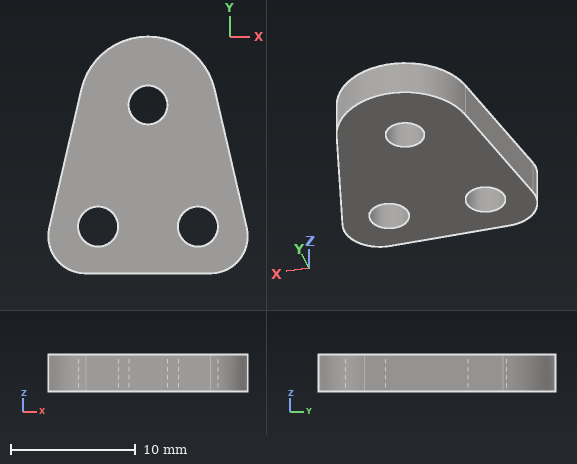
import cadquery as cq
import math

length = 19.0
thickness = 3.0
nose_radius = 5.5
corner_radius = 3.0
corner_spacing = 10.0
nose_hole_diameter = 3.1
base_hole_diameter = 3.2
base_hole_spacing = 8.0
base_hole_y = 3.76

corner_x = corner_spacing / 2
corner_y = corner_radius
nose_y = length - nose_radius

rise = nose_y - corner_y
centre_distance = math.hypot(corner_x, rise)
flank_angle = math.atan2(corner_x, rise) - math.asin((nose_radius - corner_radius) / centre_distance)
corner_mid_angle = (flank_angle - math.pi / 2) / 2


def right_arc_point(center_x, center_y, radius, angle):
    return (center_x + radius * math.cos(angle), center_y + radius * math.sin(angle))


def mirrored(point):
    return (-point[0], point[1])


def make_plate():
    corner_mid = right_arc_point(corner_x, corner_y, corner_radius, corner_mid_angle)
    corner_end = right_arc_point(corner_x, corner_y, corner_radius, flank_angle)
    nose_start = right_arc_point(0, nose_y, nose_radius, flank_angle)
    return (
        cq.Workplane("XY")
        .moveTo(-corner_x, 0)
        .lineTo(corner_x, 0)
        .threePointArc(corner_mid, corner_end)
        .lineTo(*nose_start)
        .threePointArc((0, length), mirrored(nose_start))
        .lineTo(*mirrored(corner_end))
        .threePointArc(mirrored(corner_mid), (-corner_x, 0))
        .close()
        .extrude(thickness)
    )


def through_holes(centres, diameter):
    return cq.Workplane("XY").pushPoints(centres).circle(diameter / 2).extrude(thickness)


base_hole_centres = [(side * base_hole_spacing / 2, base_hole_y) for side in (-1, 1)]

result = (
    make_plate()
    .cut(through_holes([(0, nose_y)], nose_hole_diameter))
    .cut(through_holes(base_hole_centres, base_hole_diameter))
)